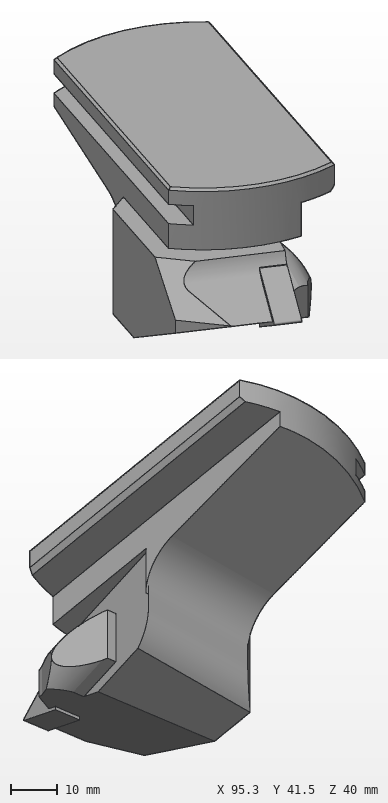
import cadquery as cq
import math


PLATE_RADIUS = 38.5
PLATE_FRONT = -21.2
PLATE_BACK = 16.1
PLATE_THICKNESS = 6.6
TOP_CHAMFER = 0.6
LOWER_CHAMFER = 1.1
NECK_BACK = 7.2
NECK_SLOPE = 10.0
NECK_FILLET = 10.5
FILLET_END_Z = -27.55
SLOT_TOP = -4.0
SLOT_HEIGHT = 4.7
SLOT_DEPTH = 4.7

HEAD_LEFT = 6.9
HEAD_FRONT = -25.4
HEAD_TOP = -14.7
HEAD_BOTTOM = -40.0
HEEL_START_Z = -31.8
HEEL_RADIUS = 10.1
HEAD_LENGTH = 57.2
TURN = 8.0
NOSE_HALF_ANGLE = 28.5
NOSE_REACH = 55.0
NOSE_Z = -24.4
NOSE_BACK = 7.4
GROOVE_START = 41.9
GROOVE_END = 46.1
CORNER_ANGLE = 55.0
CORNER_SLOPE_START = 43.0
CORNER_SLOPE_END = 52.4
CORNER_SLOPE_Z = -24.3

BOSS_Z = -29.8
BOSS_HALF_HEIGHT = 7.1
BOSS_LEFT = 19.1
BOSS_RIGHT = 46.1
BOSS_PEAK_REACH = 31.5
BOSS_PEAK = 15.9
BOSS_LEFT_TOP = 9.5
BOSS_SHOULDERS = [(40.3, 12.8), (42.0, 12.5)]

INSERT_TIP = 56.3
INSERT_LENGTH = 12.9
INSERT_THICKNESS = 6.1
TIP_RADIUS = 0.4

NOSE_SLOPE = math.tan(math.radians(NOSE_HALF_ANGLE))
OVERSIZE = 114.4


def box_between(x_range, y_range, z_range):
    size = [high - low for low, high in (x_range, y_range, z_range)]
    corner = (x_range[0], y_range[0], z_range[0])
    return cq.Workplane("XY").box(*size, centered=False).translate(corner)


def turned(body):
    """Turn a body built along X into the direction of the nose."""
    return body.rotate((0, 0, 0), (0, 0, 1), -TURN)


def along_y(outline, y_start, y_end):
    """Extrude a closed XZ outline between two Y positions."""
    return outline.extrude(y_start - y_end).translate((0, y_start, 0))


def rounded_slab(y_front, y_back, depth):
    disc = cq.Workplane("XY").circle(PLATE_RADIUS).extrude(-depth)
    band = box_between((-OVERSIZE, OVERSIZE), (y_front, y_back), (-depth, 0))
    return disc.intersect(band)


def make_plate():
    plate = rounded_slab(PLATE_FRONT, PLATE_BACK, PLATE_THICKNESS)
    plate = plate.faces(">Z").edges().chamfer(TOP_CHAMFER)
    return plate.faces(">Y").edges("<Z").chamfer(LOWER_CHAMFER)


def make_neck():
    slope = math.radians(NECK_SLOPE)
    centre_x = HEAD_LEFT - NECK_FILLET

    def fillet_point(angle):
        return (
            centre_x + NECK_FILLET * math.sin(angle),
            FILLET_END_Z + NECK_FILLET * math.cos(angle),
        )

    fillet_start = fillet_point(slope)
    fillet_middle = fillet_point((slope + math.pi / 2) / 2)
    left_z = fillet_start[1] + (fillet_start[0] + PLATE_RADIUS) * math.tan(slope)
    outline = (
        cq.Workplane("XZ")
        .moveTo(-PLATE_RADIUS, -TOP_CHAMFER)
        .lineTo(-PLATE_RADIUS, left_z)
        .lineTo(*fillet_start)
        .threePointArc(fillet_middle, (HEAD_LEFT, FILLET_END_Z))
        .lineTo(HEAD_LEFT, HEAD_TOP)
        .lineTo(PLATE_RADIUS, HEAD_TOP)
        .lineTo(PLATE_RADIUS, -TOP_CHAMFER)
        .close()
    )
    neck = rounded_slab(PLATE_FRONT, NECK_BACK, -HEAD_BOTTOM)
    return neck.intersect(along_y(outline, PLATE_FRONT, NECK_BACK))


def make_slot():
    return box_between(
        (-PLATE_RADIUS, PLATE_RADIUS),
        (PLATE_FRONT, PLATE_FRONT + SLOT_DEPTH),
        (SLOT_TOP - SLOT_HEIGHT, SLOT_TOP),
    )


def make_head_block():
    """Block with a rounded heel and a 45-degree front left corner."""
    drop = HEEL_START_Z - HEAD_BOTTOM
    heel_end = HEAD_LEFT + HEEL_RADIUS - math.sqrt(HEEL_RADIUS**2 - drop**2)
    half_angle = math.asin(drop / HEEL_RADIUS) / 2
    heel_middle = (
        HEAD_LEFT + HEEL_RADIUS * (1 - math.cos(half_angle)),
        HEEL_START_Z - HEEL_RADIUS * math.sin(half_angle),
    )
    outline = (
        cq.Workplane("XZ")
        .moveTo(HEAD_LEFT, HEAD_TOP)
        .lineTo(HEAD_LEFT, HEEL_START_Z)
        .threePointArc(heel_middle, (heel_end, HEAD_BOTTOM))
        .lineTo(HEAD_LENGTH, HEAD_BOTTOM)
        .lineTo(HEAD_LENGTH, HEAD_TOP)
        .close()
    )
    block = along_y(outline, HEAD_FRONT, NECK_BACK)
    width = PLATE_FRONT - HEAD_FRONT
    corner = (
        cq.Workplane("XY")
        .workplane(offset=HEAD_BOTTOM)
        .moveTo(HEAD_LEFT, HEAD_FRONT)
        .lineTo(HEAD_LEFT + width, HEAD_FRONT)
        .lineTo(HEAD_LEFT, PLATE_FRONT)
        .close()
        .extrude(HEAD_TOP - HEAD_BOTTOM)
    )
    return block.cut(corner)


def make_nose_envelope(back):
    """Wedge that limits the head, with a concave groove above its upper face."""
    groove_end_z = NOSE_Z + (NOSE_REACH - GROOVE_END) * NOSE_SLOPE
    bottom_reach = NOSE_REACH - (NOSE_Z - HEAD_BOTTOM) / NOSE_SLOPE
    tilt = math.radians(NOSE_HALF_ANGLE)
    across = GROOVE_START - GROOVE_END
    rise = HEAD_TOP - groove_end_z
    normal_rise = across * math.sin(tilt) + rise * math.cos(tilt)
    radius = (across**2 + rise**2) / (2 * normal_rise)
    centre_u = GROOVE_END + radius * math.sin(tilt)
    centre_z = groove_end_z + radius * math.cos(tilt)
    start_angle = math.atan2(HEAD_TOP - centre_z, GROOVE_START - centre_u) % (2 * math.pi)
    end_angle = 1.5 * math.pi - tilt
    middle_angle = (start_angle + end_angle) / 2
    groove_middle = (
        centre_u + radius * math.cos(middle_angle),
        centre_z + radius * math.sin(middle_angle),
    )
    outline = (
        cq.Workplane("XZ")
        .moveTo(0, HEAD_BOTTOM)
        .lineTo(0, HEAD_TOP)
        .lineTo(GROOVE_START, HEAD_TOP)
        .threePointArc(groove_middle, (GROOVE_END, groove_end_z))
        .lineTo(NOSE_REACH, NOSE_Z)
        .lineTo(bottom_reach, HEAD_BOTTOM)
        .close()
    )
    return turned(along_y(outline, -OVERSIZE, back))


def make_corner_cutter():
    """Sloped and upright chamfers on the front right corner of the head."""
    outline = (
        cq.Workplane("XZ")
        .moveTo(CORNER_SLOPE_START, HEAD_TOP)
        .lineTo(CORNER_SLOPE_END, CORNER_SLOPE_Z)
        .lineTo(CORNER_SLOPE_END, HEAD_BOTTOM)
        .lineTo(OVERSIZE, HEAD_BOTTOM)
        .lineTo(OVERSIZE, HEAD_TOP)
        .close()
    )
    cutter = along_y(outline, -OVERSIZE, OVERSIZE)
    return cutter.rotate((0, 0, 0), (0, 0, 1), CORNER_ANGLE - 90)


def make_boss():
    """Domed boss on the back of the head, trimmed to the nose wedge."""
    plan = (
        cq.Workplane("XY")
        .workplane(offset=BOSS_Z - BOSS_HALF_HEIGHT)
        .moveTo(BOSS_LEFT, NOSE_BACK)
        .lineTo(BOSS_LEFT, BOSS_LEFT_TOP)
        .lineTo(BOSS_PEAK_REACH, BOSS_PEAK)
        .lineTo(*BOSS_SHOULDERS[0])
        .lineTo(*BOSS_SHOULDERS[1])
        .lineTo(BOSS_RIGHT, NOSE_BACK)
        .close()
        .extrude(2 * BOSS_HALF_HEIGHT)
    )
    dome = (
        cq.Workplane("YZ")
        .moveTo(NOSE_BACK, BOSS_Z - BOSS_HALF_HEIGHT)
        .threePointArc((BOSS_PEAK, BOSS_Z), (NOSE_BACK, BOSS_Z + BOSS_HALF_HEIGHT))
        .close()
        .extrude(OVERSIZE)
    )
    return turned(plan.intersect(dome)).intersect(make_nose_envelope(BOSS_PEAK))


def make_insert():
    sharp_tip = INSERT_TIP + TIP_RADIUS * (1 / math.sin(math.radians(NOSE_HALF_ANGLE)) - 1)
    insert_left = INSERT_TIP - INSERT_LENGTH
    half_height = (sharp_tip - insert_left) * NOSE_SLOPE
    outline = (
        cq.Workplane("XZ")
        .moveTo(insert_left, NOSE_Z - half_height)
        .lineTo(sharp_tip, NOSE_Z)
        .lineTo(insert_left, NOSE_Z + half_height)
        .close()
    )
    insert = along_y(outline, NOSE_BACK - INSERT_THICKNESS, NOSE_BACK)
    return turned(insert.edges("|Y and >X").fillet(TIP_RADIUS))


def make_holder(insert):
    head = make_head_block().intersect(make_nose_envelope(NOSE_BACK)).cut(make_corner_cutter())
    holder = make_plate().union(make_neck().cut(make_slot())).cut(make_slot())
    return holder.union(head).union(make_boss()).cut(insert)


insert = make_insert()
holder = make_holder(insert)

result = cq.Compound.makeCompound([holder.val(), insert.val()])